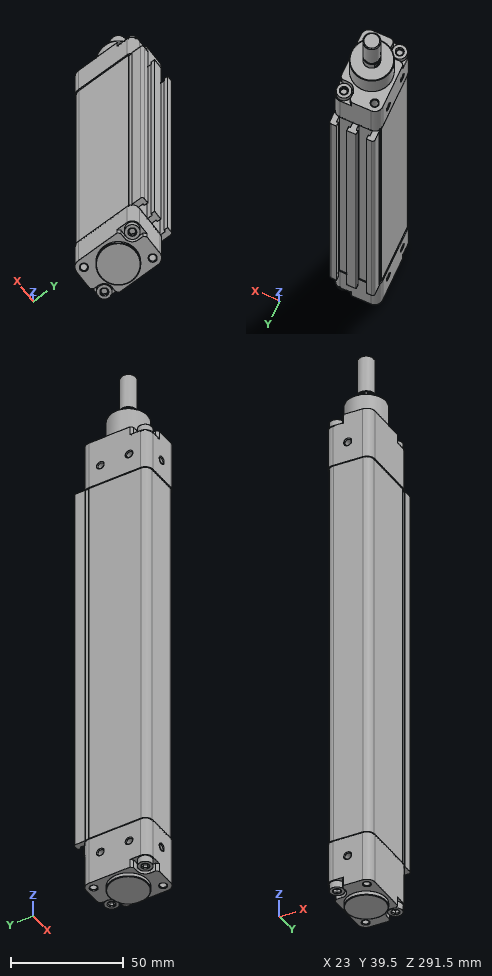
import cadquery as cq
import math


CAP_WIDTH = 23.0
CAP_DEPTH = 35.0
CAP_HEIGHT = 25.5
CORNER_RADIUS = 4.0

TUBE_LENGTH = 200.0
TUBE_INSET = 0.5
TUBE_WIDTH = CAP_WIDTH - 2 * TUBE_INSET
TUBE_DEPTH = CAP_DEPTH - 2 * TUBE_INSET
TUBE_CORNER_RADIUS = CORNER_RADIUS - TUBE_INSET

RAIL_TOP_Y = 22.0
RAIL_CORNER_RADIUS = 1.2
SLOT_FLOOR_Y = TUBE_DEPTH / 2
LIP_THICKNESS = 2.0
SLOT_OPENING = 5.0
SLOT_INNER_WIDTH = 6.7
SLOT_CENTER_X = 4.8

FLANK_GROOVE_BASE_Y = 14.1
FLANK_GROOVE_WIDTH = 1.8
FLANK_GROOVE_DEPTH = 0.3

COLLAR_DIAMETER = 20.0
COLLAR_HEIGHT = 14.0
SPIGOT_HEIGHT = 2.0
COLLAR_CHAMFER = 0.3

SCREW_X = CAP_WIDTH / 2 - CORNER_RADIUS
SCREW_Y = CAP_DEPTH / 2 - CORNER_RADIUS
POCKET_DIAMETER = 8.57
POCKET_FLARE = 1.2
POCKET_DEPTH = 4.4
SCREW_HEAD_DIAMETER = 7.0
SCREW_HEAD_HEIGHT = 3.5
SCREW_SOCKET_MOUTH_DIAMETER = 4.0
SCREW_SOCKET_FLATS = 3.0
SCREW_SOCKET_DEPTH = 2.0

THREAD_DIAMETER = 4.0
THREAD_CORE_DIAMETER = 3.24
THREAD_DEPTH = 10.0
THREAD_COUNTERSINK = (THREAD_DIAMETER - THREAD_CORE_DIAMETER) / 2

PORT_DIAMETER = 4.0
PORT_CORE_DIAMETER = 3.12
PORT_DEPTH = 4.5
PORT_PASSAGE_DIAMETER = 1.5
PORT_PASSAGE_DEPTH = 6.0
PORT_COUNTERSINK = (PORT_DIAMETER - PORT_CORE_DIAMETER) / 2
PORT_FROM_JOINT = 10.25
SIDE_PORT_Y = 7.5

ROD_DIAMETER = 8.0
ROD_EXTENSION = 24.5
ROD_TIP_CHAMFER = 0.5
ROD_FLAT_WIDTH = 7.0
ROD_FLAT_ANGLE = -20.0
ROD_FLAT_START = 0.6
ROD_FLAT_LENGTH = 3.4
THREAD_LENGTH = 18.9
RUNOUT_LENGTH = 0.8
RUNOUT_DIAMETER = 7.0

TUBE_BOTTOM_Z = CAP_HEIGHT
TUBE_TOP_Z = TUBE_BOTTOM_Z + TUBE_LENGTH
CAP_TOP_Z = TUBE_TOP_Z + CAP_HEIGHT
COLLAR_TOP_Z = CAP_TOP_Z + COLLAR_HEIGHT
ROD_TIP_Z = COLLAR_TOP_Z + ROD_EXTENSION


def box(x_range, y_range, z_range):
    """Box between the given limits along X, Y and Z."""
    sizes = [high - low for low, high in (x_range, y_range, z_range)]
    corner = (x_range[0], y_range[0], z_range[0])
    return cq.Workplane("XY").box(*sizes, centered=False).translate(corner)


def cylinder(diameter, bottom_z, height, x=0, y=0):
    return cq.Workplane("XY", origin=(x, y, bottom_z)).circle(diameter / 2).extrude(height)


def rounded_bar(width, depth, radius, bottom_z, height):
    """Upright bar with rounded corner edges, centred on the rod axis."""
    bar = cq.Workplane("XY", origin=(0, 0, bottom_z)).rect(width, depth).extrude(height)
    return bar.edges("|Z").fillet(radius)


def make_tube():
    tube_z = (TUBE_BOTTOM_Z, TUBE_TOP_Z)
    half_width = TUBE_WIDTH / 2
    rail_base_y = TUBE_DEPTH / 2 - TUBE_CORNER_RADIUS
    groove_y = (FLANK_GROOVE_BASE_Y, FLANK_GROOVE_BASE_Y + FLANK_GROOVE_WIDTH)
    tube = rounded_bar(TUBE_WIDTH, TUBE_DEPTH, TUBE_CORNER_RADIUS, TUBE_BOTTOM_Z, TUBE_LENGTH)
    rails = box((-half_width, half_width), (rail_base_y, RAIL_TOP_Y), tube_z)
    rails = rails.edges("|Z and >Y").fillet(RAIL_CORNER_RADIUS)
    tube = tube.union(rails)
    for side in (-1, 1):
        slot_x = side * SLOT_CENTER_X
        opening = (slot_x - SLOT_OPENING / 2, slot_x + SLOT_OPENING / 2)
        inner = (slot_x - SLOT_INNER_WIDTH / 2, slot_x + SLOT_INNER_WIDTH / 2)
        tube = tube.cut(box(opening, (SLOT_FLOOR_Y, RAIL_TOP_Y), tube_z))
        tube = tube.cut(box(inner, (SLOT_FLOOR_Y, RAIL_TOP_Y - LIP_THICKNESS), tube_z))
        flank_x = sorted((side * half_width, side * (half_width - FLANK_GROOVE_DEPTH)))
        tube = tube.cut(box(flank_x, groove_y, tube_z))
    return tube


def screw_pocket():
    """Corner pocket around a cap screw, for the +X +Y corner of an upward face at Z = 0.

    A round pocket opens straight through both sides, and its side walls flare out at 45 degrees.
    """
    radius = POCKET_DIAMETER / 2
    inner_x = SCREW_X - radius
    inner_y = SCREW_Y - radius
    side_x = CAP_WIDTH / 2
    side_y = CAP_DEPTH / 2
    corner_offset = radius * math.sqrt(0.5)
    outline = cq.Workplane("XY", origin=(0, 0, -POCKET_DEPTH)).moveTo(SCREW_X, inner_y)
    outline = outline.lineTo(side_x - POCKET_FLARE, inner_y)
    outline = outline.lineTo(side_x, inner_y - POCKET_FLARE)
    outline = outline.lineTo(side_x, side_y)
    outline = outline.lineTo(inner_x - POCKET_FLARE, side_y)
    outline = outline.lineTo(inner_x, side_y - POCKET_FLARE)
    outline = outline.lineTo(inner_x, SCREW_Y)
    arc_middle = (SCREW_X - corner_offset, SCREW_Y - corner_offset)
    outline = outline.threePointArc(arc_middle, (SCREW_X, inner_y))
    return outline.close().extrude(POCKET_DEPTH)


def screw_head():
    """Socket screw head standing on the floor of the +X +Y corner pocket."""
    head_top_z = SCREW_HEAD_HEIGHT - POCKET_DEPTH
    head = cylinder(SCREW_HEAD_DIAMETER, -POCKET_DEPTH, SCREW_HEAD_HEIGHT, SCREW_X, SCREW_Y)
    across_corners = SCREW_SOCKET_FLATS / math.cos(math.pi / 6)
    head = head.faces(">Z").workplane().polygon(6, across_corners).cutBlind(-SCREW_SOCKET_DEPTH)
    mouth_radius = SCREW_SOCKET_MOUTH_DIAMETER / 2
    mouth = cq.Solid.makeCone(mouth_radius, 0, mouth_radius, dir=cq.Vector(0, 0, -1))
    return head.cut(cq.Workplane(mouth).translate((SCREW_X, SCREW_Y, head_top_z)))


def countersunk_hole(diameter, depth, countersink):
    """Blind hole running down from Z = 0, widened at its mouth by a 45 degree countersink."""
    core_radius = diameter / 2
    mouth_radius = core_radius + countersink
    mouth = cq.Solid.makeCone(mouth_radius, core_radius, countersink, dir=cq.Vector(0, 0, -1))
    return cylinder(diameter, -depth, depth).union(cq.Workplane(mouth))


def make_upper_cap():
    """Cap with its joint face at Z = -CAP_HEIGHT and its outer face at Z = 0."""
    cap = rounded_bar(CAP_WIDTH, CAP_DEPTH, CORNER_RADIUS, -CAP_HEIGHT, CAP_HEIGHT)
    for turn in (0, 180):
        cap = cap.cut(screw_pocket().rotate((0, 0, 0), (0, 0, 1), turn))
        cap = cap.union(screw_head().rotate((0, 0, 0), (0, 0, 1), turn))
    thread = countersunk_hole(THREAD_CORE_DIAMETER, THREAD_DEPTH, THREAD_COUNTERSINK)
    for side in (-1, 1):
        cap = cap.cut(thread.translate((side * SCREW_X, -side * SCREW_Y, 0)))
    port = countersunk_hole(PORT_CORE_DIAMETER, PORT_DEPTH, PORT_COUNTERSINK)
    passage = cylinder(PORT_PASSAGE_DIAMETER, -PORT_PASSAGE_DEPTH, PORT_PASSAGE_DEPTH)
    port = port.union(passage)
    port_z = PORT_FROM_JOINT - CAP_HEIGHT
    front_port = port.rotate((0, 0, 0), (1, 0, 0), 90)
    cap = cap.cut(front_port.translate((0, -CAP_DEPTH / 2, port_z)))
    side_port = port.rotate((0, 0, 0), (0, 1, 0), -90)
    for y in (-SIDE_PORT_Y, SIDE_PORT_Y):
        cap = cap.cut(side_port.translate((-CAP_WIDTH / 2, y, port_z)))
    return cap


def make_housing():
    cap = make_upper_cap()
    collar = cylinder(COLLAR_DIAMETER, CAP_TOP_Z, COLLAR_HEIGHT).faces(">Z").chamfer(COLLAR_CHAMFER)
    spigot = cylinder(COLLAR_DIAMETER, -SPIGOT_HEIGHT, SPIGOT_HEIGHT).faces("<Z").chamfer(COLLAR_CHAMFER)
    housing = make_tube().union(cap.translate((0, 0, CAP_TOP_Z))).union(cap.mirror("XY"))
    housing = housing.union(collar).union(spigot)
    return housing.cut(cylinder(ROD_DIAMETER, CAP_TOP_Z, COLLAR_HEIGHT))


def make_piston_rod():
    rod = cylinder(ROD_DIAMETER, CAP_TOP_Z, ROD_TIP_Z - CAP_TOP_Z).faces(">Z").chamfer(ROD_TIP_CHAMFER)
    runout_bottom_z = ROD_TIP_Z - THREAD_LENGTH - RUNOUT_LENGTH
    runout = cylinder(2 * ROD_DIAMETER, runout_bottom_z, RUNOUT_LENGTH)
    rod = rod.cut(runout.cut(cylinder(RUNOUT_DIAMETER, runout_bottom_z, RUNOUT_LENGTH)))
    flats_bottom_z = COLLAR_TOP_Z + ROD_FLAT_START
    flats_z = (flats_bottom_z, flats_bottom_z + ROD_FLAT_LENGTH)
    flat = box((ROD_FLAT_WIDTH / 2, ROD_DIAMETER), (-ROD_DIAMETER, ROD_DIAMETER), flats_z)
    for turn in (0, 180):
        rod = rod.cut(flat.rotate((0, 0, 0), (0, 0, 1), ROD_FLAT_ANGLE + turn))
    return rod


housing = make_housing()
piston_rod = make_piston_rod()
result = cq.Compound.makeCompound([housing.val(), piston_rod.val()])